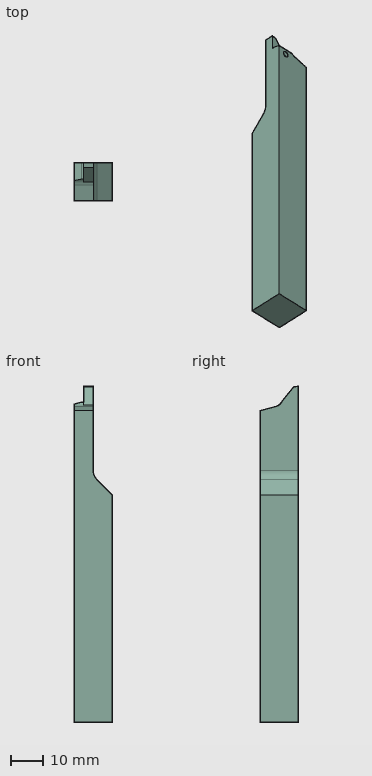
import cadquery as cq
import math

shank_size = 12.0
total_height = 105.0
half = shank_size / 2

tongue_thickness = 6.0
tongue_x = -half + tongue_thickness
relief_edge_z = 71.0
relief_fillet = 4.0

ramp_edge_drop = 7.65
ramp_angle = math.radians(15)
ramp_end_depth = 6.95
arc_radius = 3.0
arc_end_angle = math.radians(75)

shoulder_edge_drop = 5.6
shoulder_angle = math.radians(15)
ledge_offset = 2.3

blade_thickness = 3.0
tip_depth = 1.5
tip_angle = math.radians(8)
bevel_angle = math.radians(39)
blade_root_drop = 7.0

recess_diameter = 1.9
recess_back_distance = 2.95
recess_drop = 7.4
recess_depth = 0.1


def make_tongue_relief():
    """Corner block removed on the +X side, ending in a 45 degree run-out."""
    run_out = half - tongue_x
    relief = (
        cq.Workplane("XZ")
        .moveTo(tongue_x, total_height)
        .lineTo(tongue_x, relief_edge_z + run_out)
        .lineTo(half, relief_edge_z)
        .lineTo(half, total_height)
        .close()
        .extrude(half, both=True)
    )
    run_out_corner = cq.selectors.NearestToPointSelector((tongue_x, 0, relief_edge_z + run_out))
    return relief.edges(run_out_corner).fillet(relief_fillet)


def arc_point(angle):
    """Point (Y, Z) on the holder arc where its slope equals the given angle."""
    ramp_run = shank_size - ramp_end_depth
    arc_start_y = half - ramp_end_depth
    arc_start_z = total_height - ramp_edge_drop + ramp_run * math.tan(ramp_angle)
    y = arc_start_y + arc_radius * (math.sin(angle) - math.sin(ramp_angle))
    z = arc_start_z + arc_radius * (math.cos(ramp_angle) - math.cos(angle))
    return y, z


def make_holder_top_cut():
    """Material removed above the ramp and its arc, across the full width."""
    arc_end = arc_point(arc_end_angle)
    return (
        cq.Workplane("YZ")
        .moveTo(-half, total_height)
        .lineTo(-half, total_height - ramp_edge_drop)
        .lineTo(*arc_point(ramp_angle))
        .threePointArc(arc_point((ramp_angle + arc_end_angle) / 2), arc_end)
        .lineTo(arc_end[0], total_height)
        .close()
        .extrude(half, both=True)
    )


def make_shoulder_cut():
    """Material removed above the shoulder and ledge; the blade is added back afterwards."""
    shoulder_z = total_height - shoulder_edge_drop
    ledge_z = shoulder_z + ledge_offset * math.tan(shoulder_angle)
    return (
        cq.Workplane("XZ")
        .moveTo(-half, total_height)
        .lineTo(-half, shoulder_z)
        .lineTo(-half + ledge_offset, ledge_z)
        .lineTo(tongue_x, ledge_z)
        .lineTo(tongue_x, total_height)
        .close()
        .extrude(half, both=True)
    )


def make_blade():
    """Thin upright blade with a bevelled front, flush with the +Y face and the tongue."""
    tip_front_y = half - tip_depth
    tip_front_z = total_height - tip_depth * math.tan(tip_angle)
    root_z = total_height - blade_root_drop
    root_y = tip_front_y - (tip_front_z - root_z) * math.tan(bevel_angle)
    return (
        cq.Workplane("YZ", origin=(tongue_x - blade_thickness, 0, 0))
        .moveTo(half, total_height)
        .lineTo(tip_front_y, tip_front_z)
        .lineTo(root_y, root_z)
        .lineTo(half, root_z)
        .close()
        .extrude(blade_thickness)
    )


def make_recess():
    """Shallow disc sunk into the -X face."""
    return (
        cq.Workplane("YZ", origin=(-half, half - recess_back_distance, total_height - recess_drop))
        .circle(recess_diameter / 2)
        .extrude(recess_depth)
    )


shank = cq.Workplane("XY").box(shank_size, shank_size, total_height, centered=(True, True, False))
result = (
    shank
    .cut(make_tongue_relief())
    .cut(make_holder_top_cut())
    .cut(make_shoulder_cut())
    .union(make_blade())
    .cut(make_recess())
)